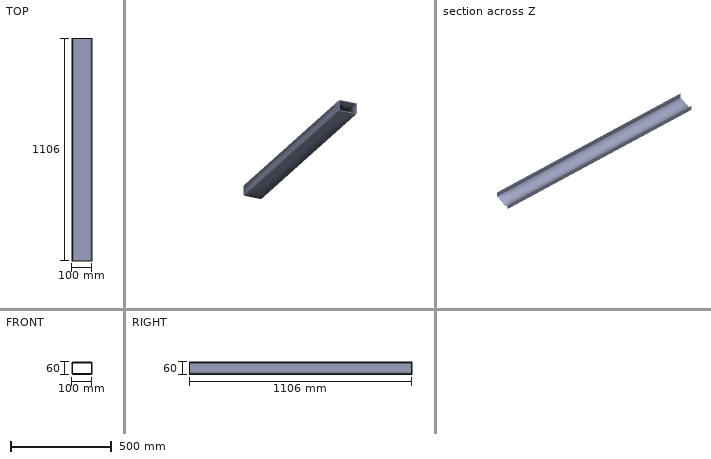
import cadquery as cq

length = 1106.0
width = 100.0
height = 60.0
wall = 3.0
outer_radius = 2 * wall
inner_radius = outer_radius - wall


def rounded_bar(bar_width, bar_height, corner_radius):
    """Solid bar centred on the origin, with its four long edges rounded."""
    return cq.Workplane("XY").box(bar_width, length, bar_height).edges("|Y").fillet(corner_radius)


outside = rounded_bar(width, height, outer_radius)
bore = rounded_bar(width - 2 * wall, height - 2 * wall, inner_radius)

result = outside.cut(bore)